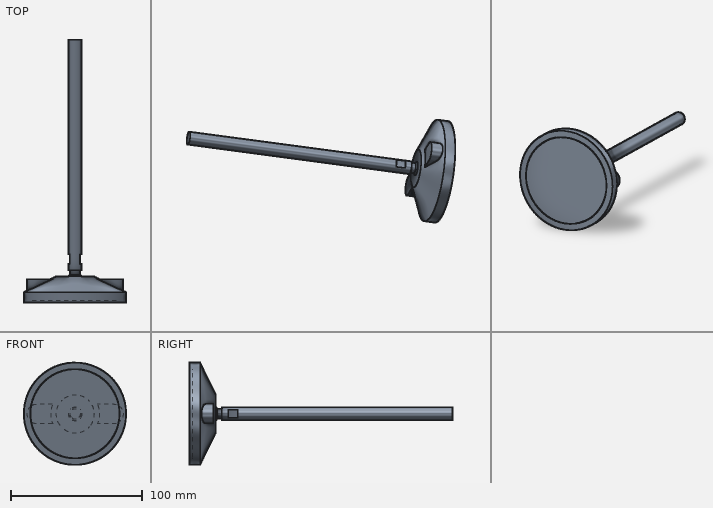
import cadquery as cq

total_length = 200.0
plate_diameter = 78.0
rim_height = 8.0
plate_height = 20.0
cone_top_diameter = 29.0

recess_diameter = 68.0
pad_diameter = 67.5
groove_depth = 2.0

rod_diameter = 10.0
neck_diameter = 7.8
collar_diameter = 10.5
collar_height = 1.2
rod_start = 24.5
flats_start = 29.5
flats_length = 7.2
across_flats = 8.0

lug_width = 14.8
lug_reach = 36.5
lug_top = 18.0


def make_plate_and_stem():
    """Revolve the plate, collar, neck and rod about the Y axis."""
    profile = [
        (0, 0),
        (plate_diameter / 2, 0),
        (plate_diameter / 2, rim_height),
        (cone_top_diameter / 2, plate_height),
        (collar_diameter / 2, plate_height),
        (neck_diameter / 2, plate_height + collar_height),
        (neck_diameter / 2, rod_start),
        (rod_diameter / 2, rod_start),
        (rod_diameter / 2, total_length),
        (0, total_length),
    ]
    return cq.Workplane("XY").polyline(profile).close().revolve(360, (0, 0), (0, 1))


def make_lugs():
    """One slot-shaped bar across the plate forms both lugs."""
    bar = (
        cq.Workplane("XZ", origin=(0, rim_height, 0))
        .slot2D(2 * lug_reach, lug_width)
        .extrude(rim_height - lug_top)
    )
    return bar


def make_pad_groove():
    return (
        cq.Workplane("XZ")
        .circle(recess_diameter / 2)
        .circle(pad_diameter / 2)
        .extrude(-groove_depth)
    )


def make_flat_cutter(side):
    """Block that cuts one wrench flat; side is -1 or +1 along X."""
    center_x = side * (across_flats + rod_diameter) / 2
    center_y = flats_start + flats_length / 2
    return (
        cq.Workplane("XY")
        .box(rod_diameter, flats_length, rod_diameter)
        .translate((center_x, center_y, 0))
    )


result = make_plate_and_stem().union(make_lugs()).cut(make_pad_groove())
for side in (-1, 1):
    result = result.cut(make_flat_cutter(side))